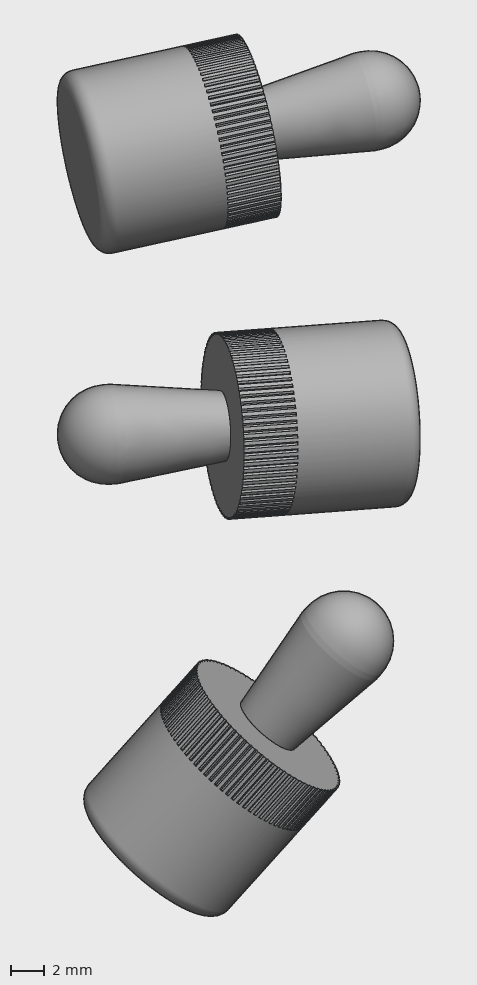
import cadquery as cq
import math

TOTAL_LENGTH = 20.88

HOUSING_RADIUS = 5.55
HOUSING_LENGTH = 10.9
END_FILLET = 0.84

GROOVE_COUNT = 80
KNURL_LENGTH = 3.28
GROOVE_WIDTH = 0.2
GROOVE_DEPTH = 0.1
CUT_OVERLAP = 0.1

HEAD_RADIUS = 2.96
HEAD_BAND_LENGTH = 0.4
STEM_ROOT_RADIUS = 2.1


def make_groove_cutters():
    """Triangular prisms around the housing, one for each knurl groove."""
    flank_slope = GROOVE_WIDTH / 2 / GROOVE_DEPTH
    land_edge_radius = math.sqrt(HOUSING_RADIUS**2 - (GROOVE_WIDTH / 2) ** 2)
    root_radius = land_edge_radius - GROOVE_DEPTH
    outer_radius = HOUSING_RADIUS + CUT_OVERLAP
    outer_half_width = (outer_radius - root_radius) * flank_slope

    cutter = (
        cq.Workplane("XZ", origin=(0, HOUSING_LENGTH, 0))
        .moveTo(0, root_radius)
        .lineTo(outer_half_width, outer_radius)
        .lineTo(-outer_half_width, outer_radius)
        .close()
        .extrude(KNURL_LENGTH)
        .val()
    )
    axis_start = cq.Vector(0, 0, 0)
    axis_end = cq.Vector(0, 1, 0)
    step = 360 / GROOVE_COUNT
    return [cutter.rotate(axis_start, axis_end, i * step) for i in range(GROOVE_COUNT)]


def make_housing():
    """Cylinder with one rounded end and a knurl at the other."""
    blank = (
        cq.Workplane("XZ")
        .circle(HOUSING_RADIUS)
        .extrude(-HOUSING_LENGTH)
        .faces("<Y")
        .edges()
        .fillet(END_FILLET)
    )
    return cq.Workplane(blank.val().cut(*make_groove_cutters()))


def make_pin():
    """Stem that widens from the housing face to a hemispherical head."""
    head_center_y = TOTAL_LENGTH - HEAD_RADIUS
    taper_end_y = head_center_y - HEAD_BAND_LENGTH
    arc_mid = HEAD_RADIUS * math.sqrt(0.5)
    return (
        cq.Workplane("XY")
        .moveTo(0, HOUSING_LENGTH)
        .lineTo(STEM_ROOT_RADIUS, HOUSING_LENGTH)
        .lineTo(HEAD_RADIUS, taper_end_y)
        .lineTo(HEAD_RADIUS, head_center_y)
        .threePointArc((arc_mid, head_center_y + arc_mid), (0, TOTAL_LENGTH))
        .close()
        .revolve(360, (0, 0, 0), (0, 1, 0))
    )


housing = make_housing()
pin = make_pin()

result = cq.Compound.makeCompound([housing.val(), pin.val()])